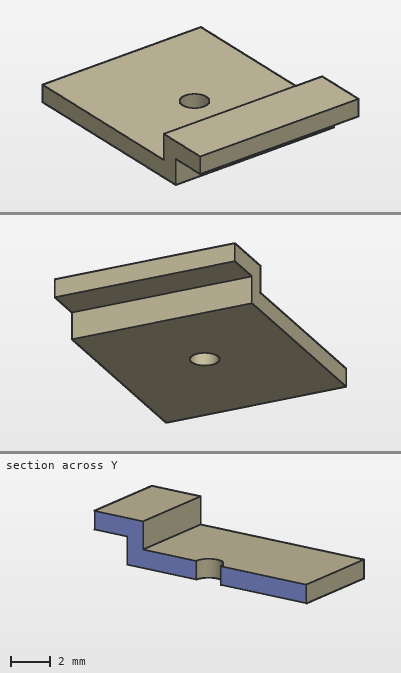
import cadquery as cq

length = 13.0
width = 10.0
height = 2.48

thickness = 1.0

step_x = 10.0
riser_end_x = step_x + thickness

hole_diameter = 1.5
hole_x = 6.0


def stepped_plate():
    """Z-shaped profile in XZ, extruded across the width about Y = 0."""
    profile = [
        (0, 0),
        (riser_end_x, 0),
        (riser_end_x, height - thickness),
        (length, height - thickness),
        (length, height),
        (step_x, height),
        (step_x, thickness),
        (0, thickness),
    ]
    return cq.Workplane("XZ").polyline(profile).close().extrude(width / 2, both=True)


def hole_cutter():
    """Vertical cylinder that passes through the base."""
    return cq.Workplane("XY").center(hole_x, 0).circle(hole_diameter / 2).extrude(height)


result = stepped_plate().cut(hole_cutter())